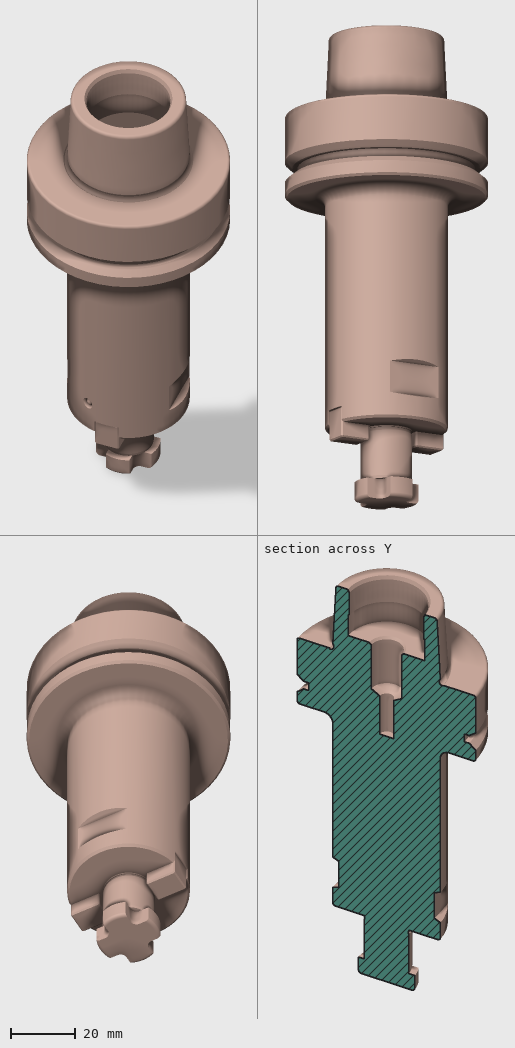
import cadquery as cq
import math

total_height = 148.0
head_height = 6.2
arbor_length = 16.7
shank_bottom = head_height + arbor_length
flange_bottom = 97.1
flange_top = 122.8

flange_radius = 31.5
flange_chamfer = 0.7
flange_top_fillet = 0.9
groove_floor_radius = 27.5
groove_floor_low = 103.6
groove_floor_high = 106.4
groove_lip_radius = 29.2
groove_flare_height = 1.9

shank_diameter = 38.0
shank_radius = shank_diameter / 2
shank_chamfer = 0.7
shank_fillet = 3.1

arbor_radius = 8.0
arbor_tip_drop = 0.9
arbor_tip_inset = 0.1
relief_radius = 7.7
relief_low = 21.8
relief_high = 22.5

head_diameter = 20.0
head_radius = head_diameter / 2
head_bar_width = 7.8
head_inner_fillet = 2.0
head_edge_fillet = 1.2

taper_base_radius = shank_radius
taper_base = 124.9
taper_slope = 0.05
taper_top_fillet = 1.0
taper_relief_radius = 18.6
taper_relief_top = 124.0
taper_relief_fillet = 1.2
face_recess_radius = 20.1
face_recess_depth = 0.3

mouth_radius = 13.0
mouth_chamfer_width = 0.6
mouth_chamfer_height = 1.2
mouth_depth = 9.9
bore_radius = 13.5
bore_floor = 130.1
thread_radius = 5.3
thread_hole_chamfer = 0.7
thread_depth = 17.8
drill_point_angle = 118.0
drill_half_angle = math.radians(drill_point_angle / 2)
coolant_radius = 2.4
coolant_depth = 14.8

flat_spacing = 33.9
flat_distance = flat_spacing / 2
flat_low = 31.0
flat_high = 40.8
flat_wall_flare = 0.9

side_hole_angle = -110.0
side_hole_z = 33.9
side_hole_radius = 1.3
side_hole_chamfer = 0.6
side_hole_depth = 1.6

key_width = 8.0
key_bottom = 18.2
key_top = 27.8
key_inner = 8.3
key_outer = 18.4
key_chamfer = 0.5

arc_middle = 1 - math.sqrt(0.5)

cut_clearance = 1.5
selection_slack = 0.1


def make_turned_blank():
    """Revolved outside of the holder: arbor, shank, flange and taper."""
    taper_height = total_height - taper_top_fillet - taper_base
    taper_top_radius = taper_base_radius - taper_slope * taper_height
    taper_arc_offset = taper_top_fillet * arc_middle
    flange_arc_offset = flange_top_fillet * arc_middle
    recess_floor = flange_top - face_recess_depth
    relief_fillet_offset = taper_relief_fillet * arc_middle
    relief_bevel_bottom = relief_low - (arbor_radius - relief_radius)
    shank_fillet_offset = shank_fillet * arc_middle
    profile = (
        cq.Workplane("XZ")
        .moveTo(0, head_height)
        .lineTo(arbor_radius - arbor_tip_inset, head_height)
        .lineTo(arbor_radius, head_height + arbor_tip_drop)
        .lineTo(arbor_radius, relief_bevel_bottom)
        .lineTo(relief_radius, relief_low)
        .lineTo(relief_radius, relief_high)
        .lineTo(arbor_radius, relief_high)
        .lineTo(arbor_radius, shank_bottom)
        .lineTo(shank_radius - shank_chamfer, shank_bottom)
        .lineTo(shank_radius, shank_bottom + shank_chamfer)
        .lineTo(shank_radius, flange_bottom - shank_fillet)
        .threePointArc(
            (shank_radius + shank_fillet_offset, flange_bottom - shank_fillet_offset),
            (shank_radius + shank_fillet, flange_bottom),
        )
        .lineTo(flange_radius - flange_chamfer, flange_bottom)
        .lineTo(flange_radius, flange_bottom + flange_chamfer)
        .lineTo(flange_radius, groove_floor_low - groove_flare_height)
        .lineTo(groove_lip_radius, groove_floor_low)
        .lineTo(groove_floor_radius, groove_floor_low)
        .lineTo(groove_floor_radius, groove_floor_high)
        .lineTo(groove_lip_radius, groove_floor_high)
        .lineTo(flange_radius, groove_floor_high + groove_flare_height)
        .lineTo(flange_radius, flange_top - flange_top_fillet)
        .threePointArc(
            (flange_radius - flange_arc_offset, flange_top - flange_arc_offset),
            (flange_radius - flange_top_fillet, flange_top),
        )
        .lineTo(face_recess_radius, flange_top)
        .lineTo(taper_relief_radius + taper_relief_fillet, recess_floor)
        .threePointArc(
            (taper_relief_radius + relief_fillet_offset, recess_floor + relief_fillet_offset),
            (taper_relief_radius, recess_floor + taper_relief_fillet),
        )
        .lineTo(taper_relief_radius, taper_relief_top)
        .lineTo(taper_base_radius, taper_base)
        .lineTo(taper_top_radius, total_height - taper_top_fillet)
        .threePointArc(
            (taper_top_radius - taper_arc_offset, total_height - taper_arc_offset),
            (taper_top_radius - taper_top_fillet, total_height),
        )
        .lineTo(0, total_height)
        .close()
    )
    return profile.revolve(360, (0, 0, 0), (0, 1, 0))


def make_bore_cutter():
    """Cutter for the stepped hollow of the taper, with the threaded hole and coolant bore in its floor."""
    thread_floor = bore_floor - thread_depth
    cone_floor = thread_floor - (thread_radius - coolant_radius) / math.tan(drill_half_angle)
    coolant_floor = cone_floor - coolant_depth
    profile = (
        cq.Workplane("XZ")
        .moveTo(0, total_height)
        .lineTo(mouth_radius + mouth_chamfer_width, total_height)
        .lineTo(mouth_radius, total_height - mouth_chamfer_height)
        .lineTo(mouth_radius, total_height - mouth_depth)
        .lineTo(bore_radius, total_height - mouth_depth)
        .lineTo(bore_radius, bore_floor)
        .lineTo(thread_radius + thread_hole_chamfer, bore_floor)
        .lineTo(thread_radius, bore_floor - thread_hole_chamfer)
        .lineTo(thread_radius, thread_floor)
        .lineTo(coolant_radius, cone_floor)
        .lineTo(coolant_radius, coolant_floor)
        .lineTo(0, coolant_floor)
        .close()
    )
    return profile.revolve(360, (0, 0, 0), (0, 1, 0))


def make_cross_head():
    """Cross of two bars with rounded inner corners, trimmed to a round disc."""
    bar_length = 2 * head_radius
    bar_x = cq.Workplane("XY").rect(bar_length, head_bar_width).extrude(head_height)
    bar_y = cq.Workplane("XY").rect(head_bar_width, bar_length).extrude(head_height)
    inner_corner = head_bar_width / 2 + selection_slack
    corner_box = cq.selectors.BoxSelector(
        (-inner_corner, -inner_corner, 0), (inner_corner, inner_corner, head_height)
    )
    cross = bar_x.union(bar_y).edges("|Z").edges(corner_box).fillet(head_inner_fillet)
    disc = cq.Workplane("XY").circle(head_radius).extrude(head_height)
    return cross.intersect(disc.faces("<Z").edges().fillet(head_edge_fillet))


def make_flat_cutter(side):
    """Cutter for the material outside one wrench flat; side is -1 or +1 along X."""
    wall_run = shank_radius - flat_distance
    return (
        cq.Workplane("XZ")
        .moveTo(side * flat_distance, flat_low)
        .lineTo(side * (flat_distance + wall_run), flat_low - flat_wall_flare)
        .lineTo(side * (flat_distance + wall_run), flat_high + flat_wall_flare)
        .lineTo(side * flat_distance, flat_high)
        .close()
        .extrude(shank_radius, both=True)
    )


def make_side_hole_cutter():
    """Cutter for a radial blind hole with a chamfered mouth; a half-round dome rises from its floor."""
    floor = shank_radius - side_hole_depth
    hole_mouth_radius = side_hole_radius + side_hole_chamfer
    dome_offset = side_hole_radius * (1 - arc_middle)
    clear_of_shank = shank_radius + cut_clearance
    profile = (
        cq.Workplane("XY")
        .moveTo(floor + side_hole_radius, 0)
        .threePointArc((floor + dome_offset, dome_offset), (floor, side_hole_radius))
        .lineTo(shank_radius - side_hole_chamfer, side_hole_radius)
        .lineTo(shank_radius, hole_mouth_radius)
        .lineTo(clear_of_shank, hole_mouth_radius)
        .lineTo(clear_of_shank, 0)
        .close()
    )
    along_x = profile.revolve(360, (0, 0, 0), (1, 0, 0))
    return along_x.rotate((0, 0, 0), (0, 0, 1), side_hole_angle).translate((0, 0, side_hole_z))


def make_key_slot_cutter(side):
    """Cutter for one key slot, open to the outside and the shank end; side is -1 or +1 along Y."""
    slot_depth = shank_radius + cut_clearance - key_inner
    slot_height = key_top - shank_bottom
    slot = cq.Workplane("XY").box(key_width, slot_depth, slot_height)
    return slot.translate((0, side * (key_inner + slot_depth / 2), shank_bottom + slot_height / 2))


def make_holder():
    """Holder with arbor and cross head as one solid, with all its cuts."""
    holder = make_turned_blank().union(make_cross_head())
    holder = holder.cut(make_bore_cutter()).cut(make_side_hole_cutter())
    for side in (-1, 1):
        holder = holder.cut(make_flat_cutter(side)).cut(make_key_slot_cutter(side))
    return holder


def make_drive_key(side):
    """Chamfered block seated in one key slot; side is -1 or +1 along Y."""
    key = cq.Workplane("XY").box(key_width, key_outer - key_inner, key_top - key_bottom)
    key = key.edges().chamfer(key_chamfer)
    return key.translate((0, side * (key_outer + key_inner) / 2, (key_top + key_bottom) / 2))


holder = make_holder()
drive_keys = [make_drive_key(side) for side in (-1, 1)]
result = cq.Compound.makeCompound([holder.val(), *[key.val() for key in drive_keys]])